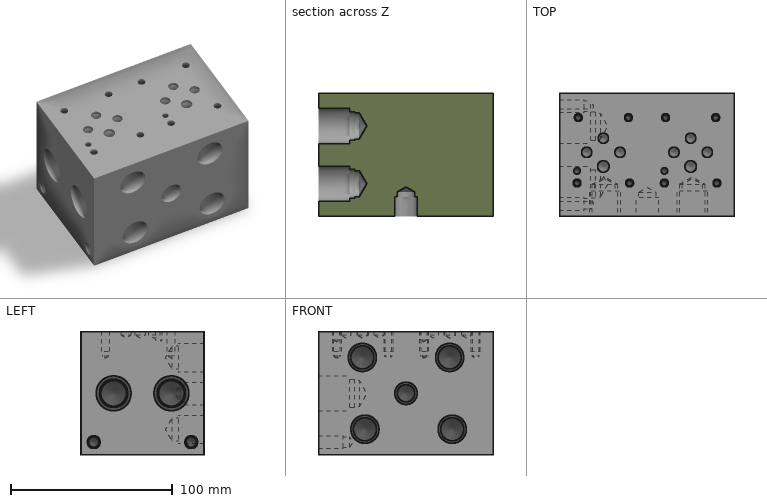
import cadquery as cq
import math

LENGTH = 107.95
WIDTH = 76.2
HEIGHT = 76.2

DRILL_POINT_ANGLE = 120.0

STATION_OFFSET = 26.99
STATION_Y = 1.55
PORT_SPREAD_X = 10.3
PORT_SPREAD_Y = 8.75
PORT_DIAMETER = 6.35
LARGE_PORT_DIAMETER = 7.14
PORT_DEPTH = 1.9
BOLT_BACK_Y = 21.5
BOLT_ROW_SPACING = 40.5
BOLT_BACK_HALF = 15.5
BOLT_FRONT_HALF = 16.25
BOLT_MAJOR = 4.83
BOLT_DRILL = 3.79
BOLT_THREAD_DEPTH = 12.0
BOLT_DEPTH = 15.0
PIN_DIAMETER = 3.96
PIN_DEPTH = 5.0
PIN_FROM_BACK_ROW = 33.0

WORK_PORT_MAJOR = 17.45
WORK_PORT_DRILL = 14.3
WORK_PORT_THREAD_DEPTH = 16.0
WORK_PORT_DEPTH = 20.0
WORK_PORT_Z = 22.2
LOWER_PORT_SHIFT = 1.59
GAUGE_MAJOR = 13.87
GAUGE_DRILL = 10.72
GAUGE_THREAD_DEPTH = 12.0
GAUGE_DEPTH = 15.0

SUPPLY_Y = 17.86
SUPPLY_MAJOR = 21.59
SUPPLY_MIDDLE = 17.48
SUPPLY_DRILL = 15.88
SUPPLY_THREAD_DEPTH = 19.0
SUPPLY_MIDDLE_DEPTH = 22.0
SUPPLY_DEPTH = 25.0
MOUNT_EDGE = 7.94
MOUNT_MAJOR = 7.92
MOUNT_DRILL = 6.53
MOUNT_THREAD_DEPTH = 15.0
MOUNT_DEPTH = 19.0

TOP = cq.Vector(0, 0, HEIGHT / 2)
FRONT = cq.Vector(0, -WIDTH / 2, 0)
END = cq.Vector(-LENGTH / 2, 0, 0)


def stepped_hole(face_centre, offset, steps):
    """Blind drilled hole entering a face squarely.

    steps lists (diameter, depth) from the mouth inwards; the last one ends in a drill point.
    """
    inward = face_centre.multiply(-1).normalized()
    mouth = face_centre + cq.Vector(*offset)
    last_diameter, last_depth = steps[-1]
    radius = last_diameter / 2
    point_length = radius / math.tan(math.radians(DRILL_POINT_ANGLE / 2))
    point_start = mouth + inward.multiply(last_depth)
    hole = cq.Solid.makeCone(radius, 0, point_length, point_start, inward)
    for diameter, depth in steps:
        hole = hole.fuse(cq.Solid.makeCylinder(diameter / 2, depth, mouth, inward))
    return hole


def valve_station(centre_x):
    """Four passages, four tapped bolt holes and a locating pin hole for one valve."""
    holes = []
    passages = [
        (-PORT_SPREAD_X, 0, PORT_DIAMETER),
        (PORT_SPREAD_X, 0, PORT_DIAMETER),
        (0, PORT_SPREAD_Y, PORT_DIAMETER),
        (0, -PORT_SPREAD_Y, LARGE_PORT_DIAMETER),
    ]
    for x, y, diameter in passages:
        holes.append(stepped_hole(TOP, (centre_x + x, STATION_Y + y, 0), [(diameter, PORT_DEPTH)]))

    back_y = STATION_Y + BOLT_BACK_Y
    front_y = back_y - BOLT_ROW_SPACING
    bolts = [
        (-BOLT_BACK_HALF, back_y),
        (BOLT_BACK_HALF, back_y),
        (-BOLT_FRONT_HALF, front_y),
        (BOLT_FRONT_HALF, front_y),
    ]
    for x, y in bolts:
        steps = [(BOLT_MAJOR, BOLT_THREAD_DEPTH), (BOLT_DRILL, BOLT_DEPTH)]
        holes.append(stepped_hole(TOP, (centre_x + x, y, 0), steps))

    pin_place = (centre_x - BOLT_FRONT_HALF, back_y - PIN_FROM_BACK_ROW, 0)
    holes.append(stepped_hole(TOP, pin_place, [(PIN_DIAMETER, PIN_DEPTH)]))
    return holes


def working_ports(centre_x):
    """Upper and lower tapped ports of one station on the front face."""
    steps = [(WORK_PORT_MAJOR, WORK_PORT_THREAD_DEPTH), (WORK_PORT_DRILL, WORK_PORT_DEPTH)]
    upper = stepped_hole(FRONT, (centre_x, 0, WORK_PORT_Z), steps)
    lower = stepped_hole(FRONT, (centre_x + LOWER_PORT_SHIFT, 0, -WORK_PORT_Z), steps)
    return [upper, lower]


def gauge_port():
    """Tapped gauge port in the middle of the front face."""
    steps = [(GAUGE_MAJOR, GAUGE_THREAD_DEPTH), (GAUGE_DRILL, GAUGE_DEPTH)]
    return stepped_hole(FRONT, (0, 0, 0), steps)


def end_face_holes(side):
    """Supply port and mounting hole on one side (+1 or -1 in Y) of the end face."""
    supply_steps = [
        (SUPPLY_MAJOR, SUPPLY_THREAD_DEPTH),
        (SUPPLY_MIDDLE, SUPPLY_MIDDLE_DEPTH),
        (SUPPLY_DRILL, SUPPLY_DEPTH),
    ]
    mount_steps = [(MOUNT_MAJOR, MOUNT_THREAD_DEPTH), (MOUNT_DRILL, MOUNT_DEPTH)]
    mount_y = side * (WIDTH / 2 - MOUNT_EDGE)
    mount_z = MOUNT_EDGE - HEIGHT / 2
    supply = stepped_hole(END, (0, side * SUPPLY_Y, 0), supply_steps)
    mount = stepped_hole(END, (0, mount_y, mount_z), mount_steps)
    return [supply, mount]


holes = [gauge_port()]
for side in (-1, 1):
    holes += valve_station(side * STATION_OFFSET)
    holes += working_ports(side * STATION_OFFSET)
    holes += end_face_holes(side)

result = cq.Workplane("XY").box(LENGTH, WIDTH, HEIGHT)
for hole in holes:
    result = result.cut(cq.Workplane(obj=hole))